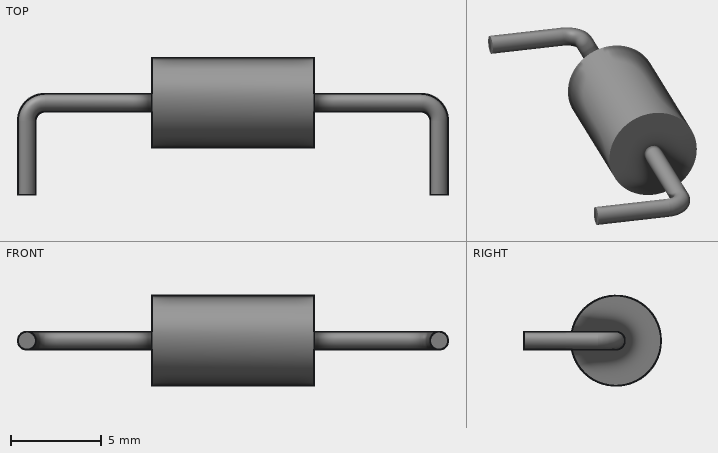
import cadquery as cq
import math

overall_length = 23.85
body_diameter = 5.0
body_length = 9.0
wire_diameter = 1.0
bend_radius = 1.0
lead_reach = 5.1

lead_x = (overall_length - wire_diameter) / 2


def make_body():
    return (
        cq.Workplane("YZ", origin=(-body_length / 2, 0, 0))
        .circle(body_diameter / 2)
        .extrude(body_length)
    )


def make_wire():
    """One continuous wire through the body, swept from tip to tip."""
    straight_x = lead_x - bend_radius
    arc_offset = bend_radius * math.sin(math.radians(45))
    arc_middle_x = straight_x + arc_offset
    arc_middle_y = arc_offset - bend_radius
    path = (
        cq.Workplane("XY")
        .moveTo(-lead_x, -lead_reach)
        .lineTo(-lead_x, -bend_radius)
        .threePointArc((-arc_middle_x, arc_middle_y), (-straight_x, 0))
        .lineTo(straight_x, 0)
        .threePointArc((arc_middle_x, arc_middle_y), (lead_x, -bend_radius))
        .lineTo(lead_x, -lead_reach)
    )
    return (
        cq.Workplane("XZ", origin=(-lead_x, -lead_reach, 0))
        .circle(wire_diameter / 2)
        .sweep(path)
    )


result = make_body().union(make_wire())